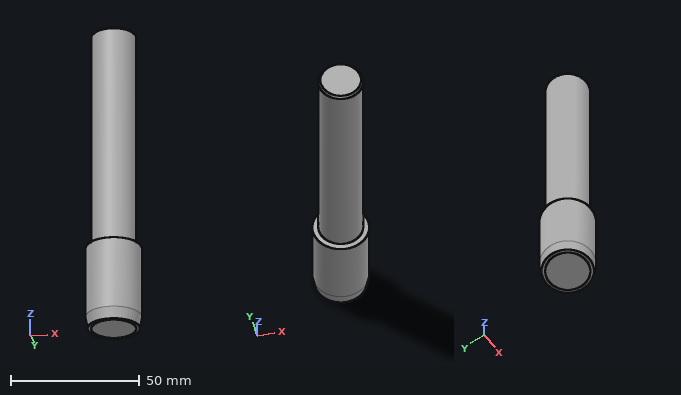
import cadquery as cq

total_length = 125.0

pin_diameter = 17.6
pin_radius = pin_diameter / 2
pin_chamfer = 0.9

sleeve_radius = 11.1
sleeve_side_top = 34.1
sleeve_top_rise = 0.4
lead_in_height = 4.8
lead_in_inset = 0.9


def make_pin():
    """Full-length shaft with a chamfered upper end."""
    return cq.Workplane("XY").circle(pin_radius).extrude(total_length).faces(">Z").chamfer(pin_chamfer)


def make_sleeve():
    """Revolved bush whose bore matches the pin."""
    return (
        cq.Workplane("XZ")
        .moveTo(pin_radius, 0)
        .lineTo(sleeve_radius - lead_in_inset, 0)
        .lineTo(sleeve_radius, lead_in_height)
        .lineTo(sleeve_radius, sleeve_side_top)
        .lineTo(pin_radius, sleeve_side_top + sleeve_top_rise)
        .close()
        .revolve(360, (0, 0, 0), (0, 1, 0))
    )


pin = make_pin()
sleeve = make_sleeve()

result = cq.Compound.makeCompound([pin.val(), sleeve.val()])